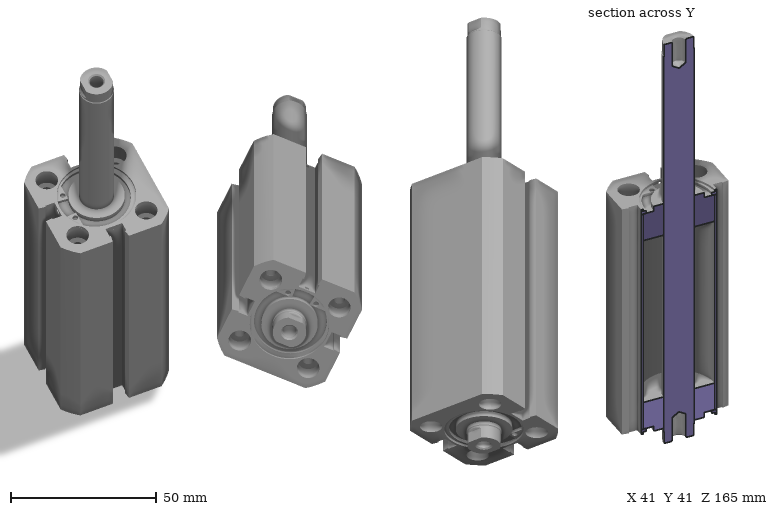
import cadquery as cq
import math

ROD_LENGTH = 165.0
HOUSING_BOTTOM = 6.3
HOUSING_LENGTH = 93.0
HOUSING_TOP = HOUSING_BOTTOM + HOUSING_LENGTH
HOUSING_MIDDLE = HOUSING_BOTTOM + HOUSING_LENGTH / 2

HOUSING_WIDTH = 41.0
CORNER_RADIUS = 25.5
BORE_RADIUS = 13.7

SLOT_DEPTH = 6.0
SLOT_HALF_WIDTH = 3.1
LIP_DEPTH = 2.5
LIP_INNER_HALF_WIDTH = 2.6
LIP_TAPER = 0.41
LIP_OUTER_HALF_WIDTH = LIP_INNER_HALF_WIDTH + LIP_TAPER
SLOT_ANGLES = (0, 180, 270)

HOLE_SPACING = 25.9
HOLE_RADIUS = 2.0
COUNTERBORE_DIAMETER = 7.8
COUNTERBORE_DEPTH = 6.6

RING_SETBACK = 0.8
RING_THICKNESS = 1.2
RING_BOTTOM = HOUSING_TOP - RING_SETBACK - RING_THICKNESS
SLOT_BREAKTHROUGH = 0.02
RING_OUTER_RADIUS = HOUSING_WIDTH / 2 - SLOT_DEPTH + SLOT_BREAKTHROUGH
RING_INNER_RADIUS = 12.5
RING_INNER_OFFSET = 0.78
LUG_TOP = 9.2
LUG_ROOT_X = 9.9
GAP_INNER_HALF_WIDTH = 3.3
GAP_OUTER_HALF_WIDTH = 3.8
PLIER_HOLE_X = 5.3
PLIER_HOLE_Y = -10.4
PLIER_HOLE_RADIUS = 1.0

COVER_LENGTH = 13.2
BOSS_RADIUS = 9.7
BOSS_HEIGHT = HOUSING_TOP - RING_BOTTOM

ROD_DIAMETER = 12.0
ROD_RADIUS = ROD_DIAMETER / 2
NECK_RADIUS = 5.8
NECK_LENGTH = 4.8
NECK_TAPER = ROD_RADIUS - NECK_RADIUS
FLAT_HALF_WIDTH = 5.1
FLAT_LENGTH = 3.8
THREAD_RADIUS = 2.5
THREAD_DEPTH = 9.9
THREAD_CHAMFER = 0.5
DRILL_POINT_ANGLE = 118.0
DRILL_POINT_HEIGHT = THREAD_RADIUS / math.tan(math.radians(DRILL_POINT_ANGLE / 2))


def mirrored_about(body, height):
    """Mirrored copy of a body about the horizontal plane at the given height."""
    return body.mirror("XY", (0, 0, height))


def slot_cutter():
    """Full-length slot opening on the +X side of the housing."""
    outer_x = HOUSING_WIDTH / 2
    lip_x = outer_x - LIP_DEPTH
    floor_x = outer_x - SLOT_DEPTH
    upper_side = [
        (outer_x, LIP_OUTER_HALF_WIDTH),
        (lip_x, LIP_INNER_HALF_WIDTH),
        (lip_x, SLOT_HALF_WIDTH),
        (floor_x, SLOT_HALF_WIDTH),
    ]
    lower_side = [(x, -y) for x, y in reversed(upper_side)]
    profile = cq.Workplane("XY", origin=(0, 0, HOUSING_BOTTOM)).polyline(upper_side + lower_side)
    return profile.close().extrude(HOUSING_LENGTH)


def ring_groove():
    """Groove for the upper retaining ring."""
    return cq.Workplane("XY", origin=(0, 0, RING_BOTTOM)).circle(RING_OUTER_RADIUS).extrude(RING_THICKNESS)


def mounting_holes():
    """Four through holes with a counterbore at each end."""
    base = cq.Workplane("XY", origin=(0, 0, HOUSING_BOTTOM)).rect(
        HOLE_SPACING, HOLE_SPACING, forConstruction=True
    ).vertices()
    lower_counterbores = base.circle(COUNTERBORE_DIAMETER / 2).extrude(COUNTERBORE_DEPTH)
    holes = base.circle(HOLE_RADIUS).extrude(HOUSING_LENGTH)
    return holes.union(lower_counterbores).union(mirrored_about(lower_counterbores, HOUSING_MIDDLE))


def make_housing():
    base = cq.Workplane("XY", origin=(0, 0, HOUSING_BOTTOM))
    housing = base.rect(HOUSING_WIDTH, HOUSING_WIDTH).extrude(HOUSING_LENGTH)
    housing = housing.intersect(base.circle(CORNER_RADIUS).extrude(HOUSING_LENGTH))
    housing = housing.cut(base.circle(BORE_RADIUS).extrude(HOUSING_LENGTH))
    for angle in SLOT_ANGLES:
        housing = housing.cut(slot_cutter().rotate((0, 0, 0), (0, 0, 1), angle))
    groove = ring_groove()
    housing = housing.cut(groove).cut(mirrored_about(groove, HOUSING_MIDDLE))
    return housing.cut(mounting_holes())


def make_upper_cover():
    """Cover that guides the rod; its boss is flush with the housing end."""
    base = cq.Workplane("XY", origin=(0, 0, HOUSING_TOP - COVER_LENGTH))
    plug = base.circle(BORE_RADIUS).extrude(COVER_LENGTH - BOSS_HEIGHT)
    boss = base.circle(BOSS_RADIUS).extrude(COVER_LENGTH)
    return plug.union(boss).cut(base.circle(ROD_RADIUS).extrude(COVER_LENGTH))


def make_upper_ring():
    """Internal retaining ring, open towards -Y between two lugs with plier holes."""
    base = cq.Workplane("XY", origin=(0, 0, RING_BOTTOM))
    disc = base.circle(RING_OUTER_RADIUS).extrude(RING_THICKNESS)
    ring = disc.cut(base.center(0, -RING_INNER_OFFSET).circle(RING_INNER_RADIUS).extrude(RING_THICKNESS))
    lug_corners = [
        (-LUG_ROOT_X, -LUG_TOP),
        (LUG_ROOT_X, -LUG_TOP),
        (LUG_ROOT_X, -RING_OUTER_RADIUS),
        (-LUG_ROOT_X, -RING_OUTER_RADIUS),
    ]
    lugs = base.polyline(lug_corners).close().extrude(RING_THICKNESS).intersect(disc)
    gap_corners = [
        (-GAP_INNER_HALF_WIDTH, -LUG_TOP),
        (GAP_INNER_HALF_WIDTH, -LUG_TOP),
        (GAP_OUTER_HALF_WIDTH, -RING_OUTER_RADIUS),
        (-GAP_OUTER_HALF_WIDTH, -RING_OUTER_RADIUS),
    ]
    gap = base.polyline(gap_corners).close().extrude(RING_THICKNESS)
    plier_hole_centres = [(-PLIER_HOLE_X, PLIER_HOLE_Y), (PLIER_HOLE_X, PLIER_HOLE_Y)]
    plier_holes = base.pushPoints(plier_hole_centres).circle(PLIER_HOLE_RADIUS).extrude(RING_THICKNESS)
    return ring.union(lugs).cut(gap).cut(plier_holes)


def thread_hole():
    """Blind hole in the upper rod end, with a countersunk mouth and a drill point."""
    straight_end = ROD_LENGTH - THREAD_DEPTH
    profile = [
        (0, ROD_LENGTH),
        (THREAD_RADIUS + THREAD_CHAMFER, ROD_LENGTH),
        (THREAD_RADIUS, ROD_LENGTH - THREAD_CHAMFER),
        (THREAD_RADIUS, straight_end),
        (0, straight_end - DRILL_POINT_HEIGHT),
    ]
    return cq.Workplane("XZ").polyline(profile).close().revolve(360, (0, 0), (0, 1))


def wrench_flat():
    """Cutter for the +Y flat of the upper rod end, running out at 45 degrees."""
    flat_end = ROD_LENGTH - FLAT_LENGTH
    run_out = ROD_RADIUS - FLAT_HALF_WIDTH
    profile = [
        (FLAT_HALF_WIDTH, ROD_LENGTH),
        (ROD_RADIUS, ROD_LENGTH),
        (ROD_RADIUS, flat_end - run_out),
        (FLAT_HALF_WIDTH, flat_end),
    ]
    return cq.Workplane("YZ").polyline(profile).close().extrude(ROD_RADIUS, both=True)


def make_rod():
    """Rod with the same neck, wrench flats and threaded hole at both ends."""
    taper_end = NECK_LENGTH + NECK_TAPER
    profile = [
        (0, 0),
        (NECK_RADIUS, 0),
        (NECK_RADIUS, NECK_LENGTH),
        (ROD_RADIUS, taper_end),
        (ROD_RADIUS, ROD_LENGTH - taper_end),
        (NECK_RADIUS, ROD_LENGTH - NECK_LENGTH),
        (NECK_RADIUS, ROD_LENGTH),
        (0, ROD_LENGTH),
    ]
    rod = cq.Workplane("XZ").polyline(profile).close().revolve(360, (0, 0), (0, 1))
    for cutter in (thread_hole(), wrench_flat(), wrench_flat().mirror("XZ")):
        rod = rod.cut(cutter).cut(mirrored_about(cutter, ROD_LENGTH / 2))
    return rod


housing = make_housing()
rod = make_rod()
upper_cover = make_upper_cover()
upper_ring = make_upper_ring()
covers = [upper_cover, mirrored_about(upper_cover, HOUSING_MIDDLE)]
rings = [upper_ring, mirrored_about(upper_ring, HOUSING_MIDDLE)]

bodies = [housing, rod, *covers, *rings]
result = cq.Compound.makeCompound([body.val() for body in bodies])